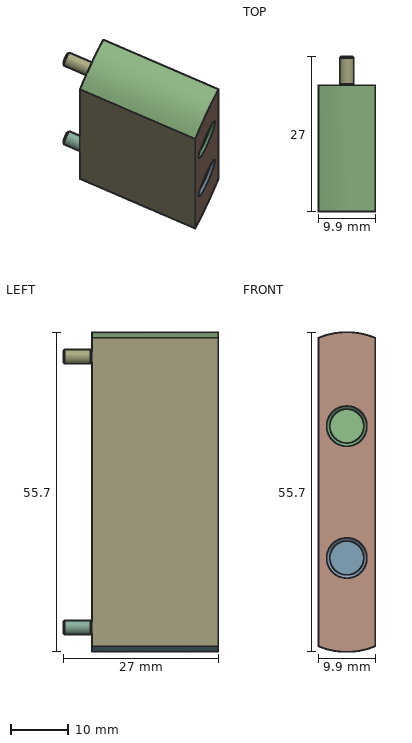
import cadquery as cq

width = 9.9
height = 55.7
total_depth = 27.0
pin_length = 5.0
body_depth = total_depth - pin_length
crown_rise = 1.0

hole_diameter = 5.9
hole_mouth_diameter = 7.0
hole_chamfer = (hole_mouth_diameter - hole_diameter) / 2
hole_depth = 11.15
hole_spacing = 22.95

pin_diameter = 2.5
pin_spacing = 47.15
pin_chamfer = 0.3

front_y = -total_depth / 2
back_y = front_y + body_depth


def make_body():
    half_width = width / 2
    top = height / 2
    shoulder = top - crown_rise
    return (
        cq.Workplane("XZ", origin=(0, front_y, 0))
        .moveTo(-half_width, -shoulder)
        .lineTo(-half_width, shoulder)
        .threePointArc((0, top), (half_width, shoulder))
        .lineTo(half_width, -shoulder)
        .threePointArc((0, -top), (-half_width, -shoulder))
        .close()
        .extrude(-body_depth)
    )


def make_hole(z):
    """Flat-bottomed hole with a chamfered mouth."""
    bore = cq.Workplane("XZ", origin=(0, front_y, z)).circle(hole_diameter / 2).extrude(-hole_depth)
    mouth = (
        cq.Workplane("XZ", origin=(0, front_y, z))
        .circle(hole_mouth_diameter / 2)
        .workplane(offset=-hole_chamfer)
        .circle(hole_diameter / 2)
        .loft()
    )
    return bore.union(mouth)


def make_pin(z):
    """Pin standing on the back face, chamfered at both ends."""
    return (
        cq.Workplane("XZ", origin=(0, back_y, z))
        .circle(pin_diameter / 2)
        .extrude(-pin_length)
        .faces("<Y or >Y")
        .chamfer(pin_chamfer)
    )


result = make_body()
for side in (-1, 1):
    result = result.cut(make_hole(side * hole_spacing / 2))
    result = result.union(make_pin(side * pin_spacing / 2))